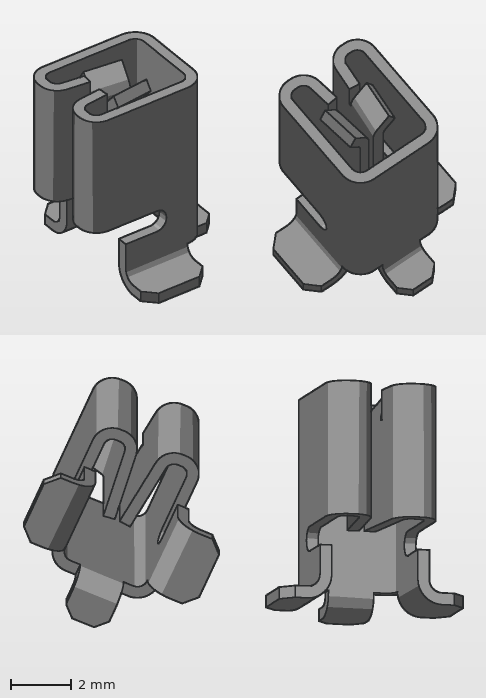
import cadquery as cq
import math


sheet = 0.4
height = 7.16
half_width = 1.89
depth = 4.7
wall_bottom = 0.83
back_corner_radius = 0.76

hairpin_radius = 0.7
hairpin_flat = 0.135
tongue_lean = 6.4
tongue_length = 2.41

slit_start = 0.865
slit_width = 0.085
slit_floor = 6.16
flare_angle = 40.0
flare_length = 0.695
flare_bend_radius = 0.73
flare_end_slope = 57.0

slot_bottom = 1.825
slot_top = 2.655
slot_depth = 1.63
slot_corner_radius = 0.4
leg_front = -3.295

side_foot_span = 6.35
side_foot_back = -0.77
side_foot_chamfer = 0.43
side_foot_radius = 0.42
back_foot_reach = 1.175
back_foot_width = 1.57
back_foot_chamfer = 0.39
back_foot_radius = 0.35

lean = math.radians(tongue_lean)
along = (math.sin(lean), math.cos(lean))
across = (math.cos(lean), -math.sin(lean))
bend_y = -depth + hairpin_radius
first_bend = (-half_width + hairpin_radius, bend_y)
second_bend = (first_bend[0] + hairpin_flat, bend_y)


def polar(center, radius, degrees):
    angle = math.radians(degrees)
    return (center[0] + radius * math.cos(angle), center[1] + radius * math.sin(angle))


def tongue_point(distance, offset):
    """Point along the left tongue; offset is measured from the second bend's center."""
    return (
        second_bend[0] + distance * along[0] + offset * across[0],
        second_bend[1] + distance * along[1] + offset * across[1],
    )


def body_half():
    """Left half of the bent strip, extruded to full height."""
    inner_hairpin = hairpin_radius - sheet
    corner = (-half_width + back_corner_radius, -back_corner_radius)
    inner_corner = back_corner_radius - sheet
    tongue_heading = -tongue_lean
    mid_heading = (tongue_heading - 90) / 2
    return (
        cq.Workplane("XY", origin=(0, 0, wall_bottom))
        .moveTo(0, 0)
        .lineTo(corner[0], 0)
        .threePointArc(polar(corner, back_corner_radius, 135), (-half_width, corner[1]))
        .lineTo(-half_width, bend_y)
        .threePointArc(polar(first_bend, hairpin_radius, 225), (first_bend[0], -depth))
        .lineTo(second_bend[0], -depth)
        .threePointArc(polar(second_bend, hairpin_radius, mid_heading), tongue_point(0, hairpin_radius))
        .lineTo(*tongue_point(tongue_length, hairpin_radius))
        .lineTo(*tongue_point(tongue_length, inner_hairpin))
        .lineTo(*tongue_point(0, inner_hairpin))
        .threePointArc(polar(second_bend, inner_hairpin, mid_heading), (second_bend[0], -depth + sheet))
        .lineTo(first_bend[0], -depth + sheet)
        .threePointArc(polar(first_bend, inner_hairpin, 225), (-half_width + sheet, bend_y))
        .lineTo(-half_width + sheet, corner[1])
        .threePointArc(polar(corner, inner_corner, 135), (corner[0], -sheet))
        .lineTo(0, -sheet)
        .close()
        .extrude(height - wall_bottom)
    )


def tongue_plane(distance):
    """Plane across the left tongue: x toward the center, y up, origin on its inward face."""
    start = tongue_point(distance, hairpin_radius)
    return cq.Plane(origin=(*start, 0), xDir=(*across, 0), normal=(-along[0], -along[1], 0))


def tongue_top_cut():
    """Removes the tongue above the slit floor, from the slit to the free end."""
    margin = 0.07
    return (
        cq.Workplane(tongue_plane(slit_start))
        .moveTo(-sheet - margin, slit_floor)
        .lineTo(margin, slit_floor)
        .lineTo(margin, height + margin)
        .lineTo(-sheet - margin, height + margin)
        .close()
        .extrude(-(tongue_length - slit_start + margin))
    )


def flared_tab():
    """Tab bent outward from the slit floor, with its end sloping down toward the side wall."""
    flare = math.radians(flare_angle)
    end_slope = math.radians(flare_end_slope)
    end_length = sheet / math.cos(end_slope - flare)
    pivot = (-flare_bend_radius, slit_floor)
    concave_radius = flare_bend_radius - sheet
    convex_end = polar(pivot, flare_bend_radius, flare_angle)
    concave_end = polar(pivot, concave_radius, flare_angle)
    tip = (
        convex_end[0] - flare_length * math.sin(flare),
        convex_end[1] + flare_length * math.cos(flare),
    )
    tip_back = (
        tip[0] - end_length * math.cos(end_slope),
        tip[1] - end_length * math.sin(end_slope),
    )
    return (
        cq.Workplane(tongue_plane(slit_start + slit_width))
        .moveTo(-sheet, slit_floor)
        .lineTo(0, slit_floor)
        .threePointArc(polar(pivot, flare_bend_radius, flare_angle / 2), convex_end)
        .lineTo(*tip)
        .lineTo(*tip_back)
        .lineTo(*concave_end)
        .threePointArc(polar(pivot, concave_radius, flare_angle / 2), (-sheet, slit_floor))
        .close()
        .extrude(-(tongue_length - slit_start - slit_width))
    )


def lower_front_cut():
    """Everything below the slot top: the slot, the tongues and the space in front of the legs."""
    slot_end = -slot_depth - slot_corner_radius
    return (
        cq.Workplane("YZ")
        .moveTo(-depth, 0)
        .lineTo(leg_front, 0)
        .lineTo(leg_front, slot_bottom)
        .lineTo(slot_end, slot_bottom)
        .threePointArc(polar((slot_end, slot_bottom + slot_corner_radius), slot_corner_radius, -45),
                       (-slot_depth, slot_bottom + slot_corner_radius))
        .lineTo(-slot_depth, slot_top - slot_corner_radius)
        .threePointArc(polar((slot_end, slot_top - slot_corner_radius), slot_corner_radius, 45),
                       (slot_end, slot_top))
        .lineTo(-depth, slot_top)
        .close()
        .extrude(half_width, both=True)
    )


def tongue_bottom_cut():
    """Space below both tongues, between the legs and in front of the back wall."""
    clear_width = 2 * (half_width - sheet)
    clear_depth = depth - back_corner_radius
    return (
        cq.Workplane("XY")
        .box(clear_width, clear_depth, slot_top, centered=(True, False, False))
        .translate((0, -depth, 0))
    )


def foot(reach, width, bend_radius, chamfer):
    """Foot bent toward +X from a wall whose outer face is at X = 0, centered on Y = 0."""
    bend_center = (bend_radius, sheet + bend_radius)
    outer_radius = bend_radius + sheet
    return (
        cq.Workplane("XZ")
        .moveTo(-sheet, wall_bottom)
        .lineTo(-sheet, bend_center[1])
        .threePointArc(polar(bend_center, outer_radius, 225), (bend_radius, 0))
        .lineTo(reach, 0)
        .lineTo(reach, sheet)
        .lineTo(bend_radius, sheet)
        .threePointArc(polar(bend_center, bend_radius, 225), (0, bend_center[1]))
        .lineTo(0, wall_bottom)
        .close()
        .extrude(width / 2, both=True)
        .edges("|Z and >X")
        .chamfer(chamfer)
    )


left_body = body_half().cut(tongue_top_cut()).union(flared_tab())
body = left_body.union(left_body.mirror("YZ")).cut(lower_front_cut()).cut(tongue_bottom_cut())

side_foot = foot(
    side_foot_span / 2 - half_width,
    side_foot_back - leg_front,
    side_foot_radius,
    side_foot_chamfer,
).translate((half_width, (side_foot_back + leg_front) / 2, 0))
back_foot = foot(
    back_foot_reach, back_foot_width, back_foot_radius, back_foot_chamfer
).rotate((0, 0, 0), (0, 0, 1), 90)

result = body.union(side_foot).union(side_foot.mirror("YZ")).union(back_foot)